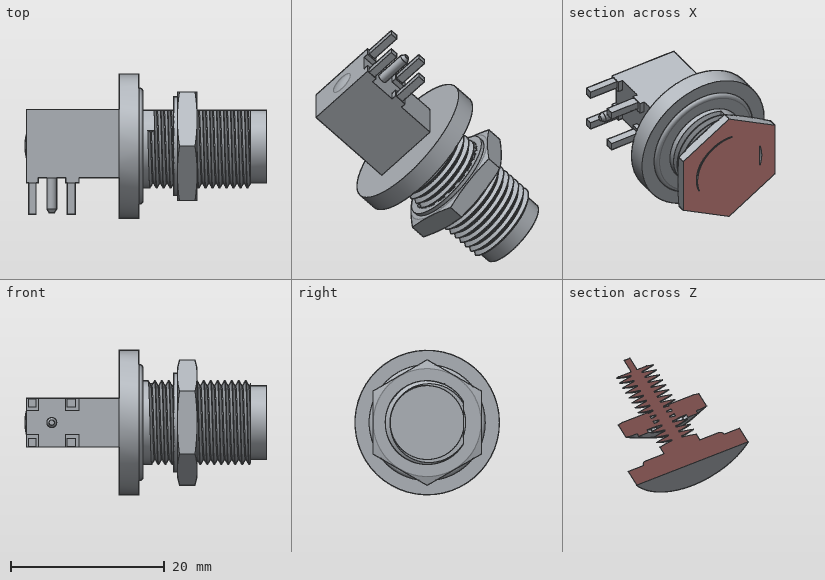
import cadquery as cq
import math


block_length = 12.04
block_half_height = 3.18
block_top_y = 4.78
block_bottom_y = -4.12
dome_radius = 1.57
dome_height = 0.2

foot_bottom_y = -4.76
foot_inner_z = 1.58
rear_foot_start_x = -block_length
rear_foot_length = 1.56
front_foot_start_x = -6.93
front_foot_length = 1.73
pin_end_y = -8.85
pin_inner_z = 2.04
pin_height = 1.05
rear_pin_start_x = -11.76
rear_pin_width = 1.0
front_pin_start_x = -6.74
front_pin_width = 1.08

contact_x = -8.74
contact_radius = 0.65
contact_end_y = -8.66
contact_tip_length = 0.48
contact_tip_taper = 0.3

flange_radius = 9.4
flange_thickness = 2.58
shoulder_radius = 7.55
shoulder_thickness = 0.55
shoulder_fillet = 0.5
shoulder_end_x = flange_thickness + shoulder_thickness

thread_radius = 5.45
thread_end_x = 17.1
nose_radius = 4.8
barrel_end_x = 19.18
flat_y = 4.69

pitch = 0.908
groove_root_radius = nose_radius + 0.04
groove_root_width = 0.14
groove_mouth_width = 0.83
groove_over_depth = 0.02
groove_at_top_x = 4.2
groove_lead_in_angle = 22
groove_lead_in = pitch * groove_lead_in_angle / 360
groove_start_x = groove_at_top_x - groove_lead_in
groove_run_out = 0.45

nut_start_x = 7.57
nut_thickness = 2.58
nut_across_flats = 14.13
nut_bore_radius = 5.0
nut_chamfer_length = 0.28
nut_face_radius = nut_across_flats / 2 - 0.05
nut_corner_radius = nut_across_flats / 2 / math.cos(math.radians(30))

washer_thickness = 0.48
washer_radius = 6.44
washer_bore_radius = 5.55
tooth_count = 18
tooth_tip_radius = 5.2
tooth_overlap = 0.1
tooth_width = 0.8


def box(x0, x1, y0, y1, z0, z1):
    return cq.Workplane("XY").box(x1 - x0, y1 - y0, z1 - z0, centered=False).translate((x0, y0, z0))


def disc(x0, x1, radius):
    return cq.Workplane("YZ", origin=(x0, 0, 0)).circle(radius).extrude(x1 - x0)


def ring(x0, x1, radius, bore_radius):
    return cq.Workplane("YZ", origin=(x0, 0, 0)).circle(radius).circle(bore_radius).extrude(x1 - x0)


def make_block():
    block = box(-block_length, 0, block_bottom_y, block_top_y, -block_half_height, block_half_height)
    dome = (
        cq.Workplane("XY", origin=(-block_length, 0, 0))
        .lineTo(0, dome_radius)
        .threePointArc(dome_arc_middle(), (-dome_height, 0))
        .close()
        .revolve(360, (0, 0, 0), (1, 0, 0))
    )
    return block.union(dome)


def dome_arc_middle():
    sphere_radius = (dome_radius**2 + dome_height**2) / (2 * dome_height)
    middle_y = dome_radius / 2
    middle_x = sphere_radius - dome_height - math.sqrt(sphere_radius**2 - middle_y**2)
    return middle_x, middle_y


def make_foot(foot_x, foot_length, pin_x, pin_width):
    """Foot and solder pin on the +Z side of the block."""
    foot = box(
        foot_x, foot_x + foot_length, foot_bottom_y, block_bottom_y, foot_inner_z, block_half_height
    )
    pin = box(
        pin_x, pin_x + pin_width, pin_end_y, foot_bottom_y, pin_inner_z, pin_inner_z + pin_height
    )
    return foot.union(pin)


def make_contact():
    length = block_bottom_y - contact_end_y
    return (
        cq.Workplane("XZ", origin=(contact_x, block_bottom_y, 0))
        .circle(contact_radius)
        .extrude(length)
        .faces("<Y")
        .chamfer(contact_tip_length, contact_tip_taper)
    )


def make_flange():
    flange = disc(0, flange_thickness, flange_radius)
    shoulder = disc(flange_thickness, shoulder_end_x, shoulder_radius)
    shoulder = shoulder.faces(">X").edges().fillet(shoulder_fillet)
    return flange.union(shoulder)


def make_groove():
    """Right-handed V groove, swept along Z and then laid along X."""
    length = thread_end_x + groove_run_out - groove_start_x
    helix = cq.Wire.makeHelix(pitch, length, groove_root_radius)
    flank_slope = (groove_mouth_width - groove_root_width) / 2 / (thread_radius - groove_root_radius)
    mouth_radius = thread_radius + groove_over_depth
    half_root = groove_root_width / 2
    half_mouth = half_root + flank_slope * (mouth_radius - groove_root_radius)
    groove = (
        cq.Workplane("XZ")
        .moveTo(groove_root_radius, -half_root)
        .lineTo(mouth_radius, -half_mouth)
        .lineTo(mouth_radius, half_mouth)
        .lineTo(groove_root_radius, half_root)
        .close()
        .sweep(cq.Workplane(obj=helix), isFrenet=True)
    )
    laid = groove.rotate((0, 0, 0), (0, 1, 0), 90).rotate((0, 0, 0), (1, 0, 0), 180)
    return laid.rotate((0, 0, 0), (1, 0, 0), -groove_lead_in_angle).translate((groove_start_x, 0, 0))


def make_barrel():
    threaded = disc(shoulder_end_x, thread_end_x, thread_radius)
    barrel = threaded.union(disc(thread_end_x, barrel_end_x, nose_radius))
    above_flat = box(shoulder_end_x, barrel_end_x, flat_y, thread_radius, -thread_radius, thread_radius)
    return barrel.cut(above_flat).cut(make_groove(), clean=False)


def make_nut():
    nut_end_x = nut_start_x + nut_thickness
    hexagon = (
        cq.Workplane("YZ", origin=(nut_start_x, 0, 0))
        .polygon(6, 2 * nut_corner_radius)
        .extrude(nut_thickness)
        .rotate((0, 0, 0), (1, 0, 0), 90)
    )
    crown = (
        cq.Workplane("XY")
        .moveTo(nut_start_x, 0)
        .lineTo(nut_start_x, nut_face_radius)
        .lineTo(nut_start_x + nut_chamfer_length, nut_corner_radius)
        .lineTo(nut_end_x - nut_chamfer_length, nut_corner_radius)
        .lineTo(nut_end_x, nut_face_radius)
        .lineTo(nut_end_x, 0)
        .close()
        .revolve(360, (0, 0, 0), (1, 0, 0))
    )
    bore = disc(nut_start_x, nut_end_x, nut_bore_radius)
    return hexagon.intersect(crown).cut(bore)


def make_washer():
    washer_start_x = nut_start_x - washer_thickness
    washer = ring(washer_start_x, nut_start_x, washer_radius, washer_bore_radius)
    tooth_length = washer_bore_radius + tooth_overlap - tooth_tip_radius
    tooth = box(
        washer_start_x,
        nut_start_x,
        -tooth_width / 2,
        tooth_width / 2,
        tooth_tip_radius,
        tooth_tip_radius + tooth_length,
    )
    for index in range(tooth_count):
        washer = washer.union(tooth.rotate((0, 0, 0), (1, 0, 0), index * 360 / tooth_count))
    return washer


result = make_block().union(make_contact()).union(make_flange())
for foot in (
    make_foot(rear_foot_start_x, rear_foot_length, rear_pin_start_x, rear_pin_width),
    make_foot(front_foot_start_x, front_foot_length, front_pin_start_x, front_pin_width),
):
    result = result.union(foot).union(foot.mirror("XY"))
result = result.union(make_nut().union(make_washer()))
result = result.union(make_barrel(), clean=False)